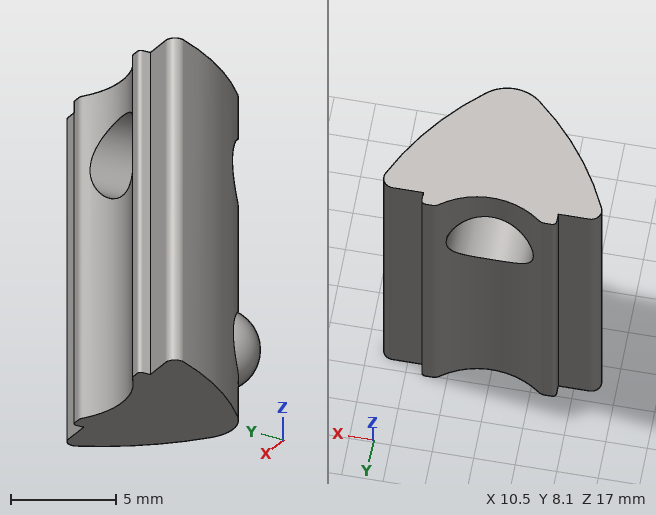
import cadquery as cq
import math


length = 17.0
width = 10.5
depth = 6.9
corner_radius = 0.5
nose_radius = 2.0
flank_radius = 14.5

rib_width = 6.5
rib_height = 0.6
rib_edge_radius = 0.2
groove_radius = 4.0
groove_depth = 0.9
groove_edge_radius = 0.5

hole_diameter = 4.2
hole_from_top = 4.0
hole_z = length - hole_from_top
ball_diameter = 4.0
ball_z = 4.0
ball_protrusion = 1.2

nose_y = rib_height - depth
ball_radius = ball_diameter / 2
ball_y = nose_y - ball_protrusion + ball_radius


def point_toward(start, target, distance):
    """Point at the given distance from start, on the line through target."""
    scale = distance / math.dist(start, target)
    return (
        start[0] + (target[0] - start[0]) * scale,
        start[1] + (target[1] - start[1]) * scale,
    )


def flank_center(nose_center, corner_center):
    """Center of the right flank arc, which encloses and touches the nose and corner circles."""
    to_nose = flank_radius - nose_radius
    to_corner = flank_radius - corner_radius
    span = math.dist(nose_center, corner_center)
    along = (to_nose**2 - to_corner**2 + span**2) / (2 * span)
    aside = math.sqrt(to_nose**2 - along**2)
    unit_x = (corner_center[0] - nose_center[0]) / span
    unit_y = (corner_center[1] - nose_center[1]) / span
    return (
        nose_center[0] + along * unit_x - aside * unit_y,
        nose_center[1] + along * unit_y + aside * unit_x,
    )


def mirrored(point):
    return (-point[0], point[1])


def make_bar():
    """Three-sided bar: flat back, rounded corners, bulged flanks and a round nose."""
    nose_center = (0, nose_y + nose_radius)
    corner_center = (width / 2 - corner_radius, -corner_radius)
    center = flank_center(nose_center, corner_center)

    shoulder_end = (corner_center[0], 0)
    corner_side = (width / 2, corner_center[1])
    flank_top = point_toward(center, corner_center, flank_radius)
    flank_bottom = point_toward(center, nose_center, flank_radius)
    chord_middle = (
        (flank_top[0] + flank_bottom[0]) / 2,
        (flank_top[1] + flank_bottom[1]) / 2,
    )
    flank_middle = point_toward(center, chord_middle, flank_radius)

    return (
        cq.Workplane("XY")
        .moveTo(*mirrored(shoulder_end))
        .lineTo(*shoulder_end)
        .threePointArc(corner_side, flank_top)
        .threePointArc(flank_middle, flank_bottom)
        .threePointArc((0, nose_y), mirrored(flank_bottom))
        .threePointArc(mirrored(flank_middle), mirrored(flank_top))
        .threePointArc(mirrored(corner_side), mirrored(shoulder_end))
        .close()
        .extrude(length)
    )


def add_rib(bar):
    """Rib along the back, grooved, with its outer corners and the groove edges rounded."""
    rib = (
        cq.Workplane("XY")
        .rect(rib_width, 2 * rib_height)
        .extrude(length)
        .edges("|Z and >Y")
        .fillet(rib_edge_radius)
    )
    groove = (
        cq.Workplane("XY")
        .center(0, rib_height - groove_depth + groove_radius)
        .circle(groove_radius)
        .extrude(length)
    )
    grooved = bar.union(rib).cut(groove)
    reach = groove_radius - groove_depth
    groove_half_width = math.sqrt(groove_radius**2 - reach**2)
    for side in (-1, 1):
        grooved = grooved.edges(
            cq.NearestToPointSelector((side * groove_half_width, rib_height, length / 2))
        ).fillet(groove_edge_radius)
    return grooved


def make_nut():
    nut = add_rib(make_bar())
    through_hole = (
        cq.Workplane("XZ", origin=(0, rib_height, hole_z))
        .circle(hole_diameter / 2)
        .extrude(depth)
    )
    ball_bore = (
        cq.Workplane("XZ", origin=(0, ball_y + ball_radius, ball_z))
        .circle(ball_radius)
        .extrude(ball_diameter)
    )
    return nut.cut(through_hole).cut(ball_bore).solids()


def make_ball():
    return cq.Workplane("XY", origin=(0, ball_y, ball_z)).sphere(ball_radius)


nut = make_nut()
ball = make_ball()

result = cq.Compound.makeCompound([nut.val(), ball.val()])